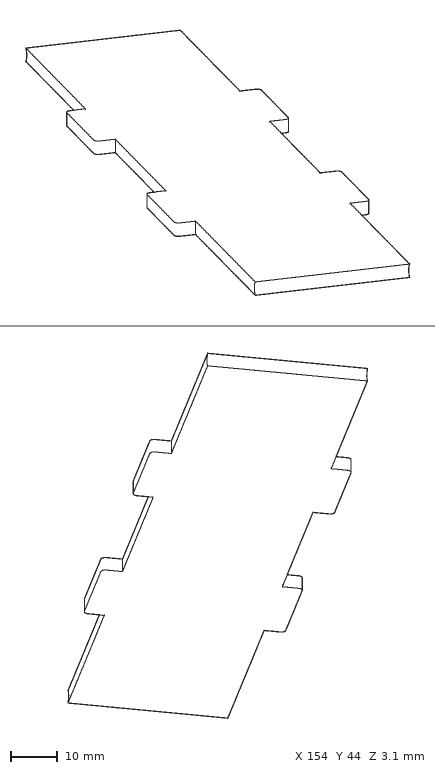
import cadquery as cq

length = 154.0
body_width = 35.0
thickness = 3.1

overall_width = 44.0
tab_length = 20.0
tab_center_x = 27.0
tab_corner_radius = 1.0

groove_depth = 0.6


def plate_body():
    """Plate with concave ends, extruded across its width."""
    half_length = length / 2
    half_thickness = thickness / 2
    groove_x = half_length - groove_depth
    return (
        cq.Workplane("XZ")
        .moveTo(-half_length, -half_thickness)
        .lineTo(half_length, -half_thickness)
        .threePointArc((groove_x, 0), (half_length, half_thickness))
        .lineTo(-half_length, half_thickness)
        .threePointArc((-groove_x, 0), (-half_length, -half_thickness))
        .close()
        .extrude(body_width / 2, both=True)
    )


def cross_tab(center_x):
    """Bar across the plate whose rounded ends form two opposite tabs."""
    return (
        cq.Workplane("XY")
        .box(tab_length, overall_width, thickness)
        .edges("|Z")
        .fillet(tab_corner_radius)
        .translate((center_x, 0, 0))
    )


result = plate_body()
for center_x in (-tab_center_x, tab_center_x):
    result = result.union(cross_tab(center_x))
result = result.clean()